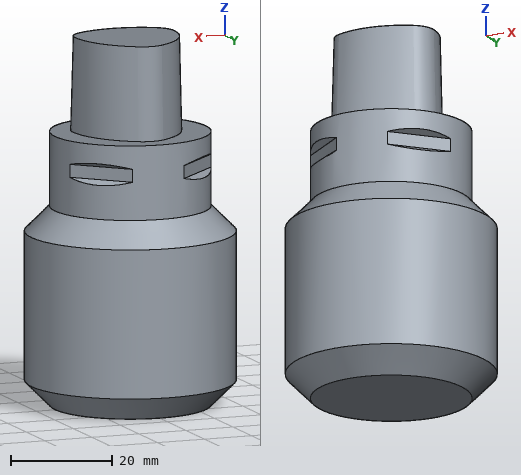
import cadquery as cq
import math

blank_diameter = 42.0
blank_length = 40.0
flange_diameter = 32.0
blank_chamfer = (blank_diameter - flange_diameter) / 2

flange_height = 15.0
shank_length = 19.0
shank_base_width = 22.0
shank_taper = 1 / 20
shank_tip_width = shank_base_width - shank_taper * shank_length
lobe_radius_ratio = 0.24

groove_count = 4
groove_first_angle = 45.0
groove_depth = 1.5
groove_floor_height = 2.6
groove_flank_angle = 30.0
groove_below_shoulder = 6.0

flange_top = blank_length + flange_height


def make_blank():
    bar = cq.Workplane("XY").circle(blank_diameter / 2).extrude(blank_length)
    return bar.faces("<Z or >Z").chamfer(blank_chamfer)


def lobed_wire(height, width):
    """Curve of constant width: three small lobe arcs joined by three large side arcs.

    The arc centres are the corners of an equilateral triangle with one corner toward +Y.
    """
    lobe_radius = lobe_radius_ratio * width
    side_radius = width - lobe_radius
    centre_distance = (side_radius - lobe_radius) / math.sqrt(3)

    def arc_point(centre_angle, radius, direction):
        centre = math.radians(centre_angle)
        ray = math.radians(direction)
        return (
            centre_distance * math.cos(centre) + radius * math.cos(ray),
            centre_distance * math.sin(centre) + radius * math.sin(ray),
        )

    outline = cq.Workplane("XY").workplane(offset=height).moveTo(*arc_point(90, lobe_radius, 60))
    for lobe_angle in (90, 210, 330):
        side_angle = lobe_angle + 60
        opposite_corner = side_angle + 180
        outline = outline.threePointArc(
            arc_point(lobe_angle, lobe_radius, lobe_angle),
            arc_point(lobe_angle, lobe_radius, lobe_angle + 30),
        )
        outline = outline.threePointArc(
            arc_point(opposite_corner, side_radius, side_angle),
            arc_point(opposite_corner, side_radius, side_angle + 30),
        )
    return outline.close().val()


def make_shank():
    base = lobed_wire(flange_top, shank_base_width)
    tip = lobed_wire(flange_top + shank_length, shank_tip_width)
    return cq.Workplane(obj=cq.Solid.makeLoft([base, tip], True))


def make_groove_cutter(angle):
    """Trapezoid bar whose narrow side is the groove floor; it opens outward past the wall."""
    floor_distance = flange_diameter / 2 - groove_depth
    cutter_reach = 2 * groove_depth
    floor_half = groove_floor_height / 2
    mouth_half = floor_half + cutter_reach * math.tan(math.radians(groove_flank_angle))
    groove_z = flange_top - groove_below_shoulder
    return (
        cq.Workplane("XZ", origin=(floor_distance, 0, groove_z))
        .moveTo(0, -floor_half)
        .lineTo(cutter_reach, -mouth_half)
        .lineTo(cutter_reach, mouth_half)
        .lineTo(0, floor_half)
        .close()
        .extrude(flange_diameter / 2, both=True)
        .rotate((0, 0, 0), (0, 0, 1), angle)
    )


def make_coupling():
    base_plane = cq.Workplane("XY", origin=(0, 0, blank_length))
    flange = base_plane.circle(flange_diameter / 2).extrude(flange_height)
    for index in range(groove_count):
        angle = groove_first_angle + index * 360 / groove_count
        flange = flange.cut(make_groove_cutter(angle))
    return flange.union(make_shank())


blank = make_blank().solids()
coupling = make_coupling().solids()

result = cq.Compound.makeCompound([blank.val(), coupling.val()])